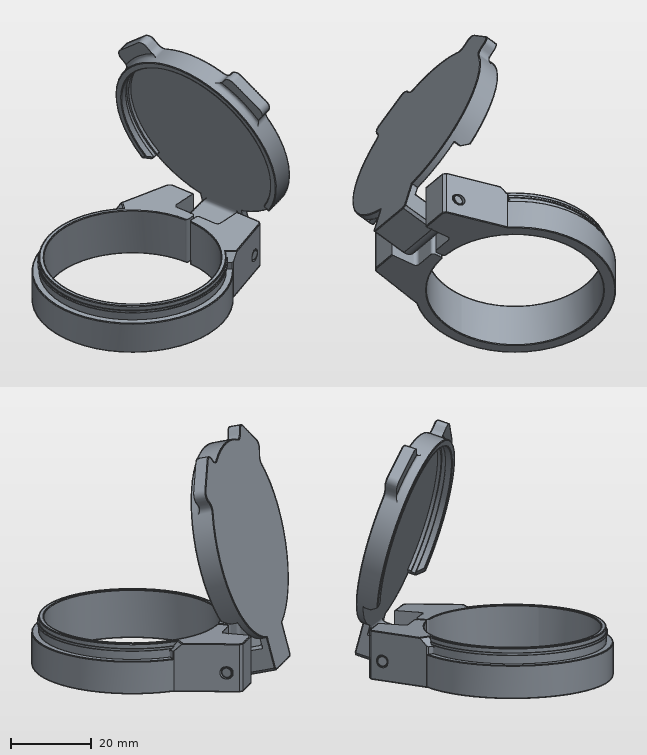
import cadquery as cq
import math

RING_R = 24.985
BORE_R = 22.0
SHOULDER_Z = 8.5
RING_TOP = 12.5
NECK_R = 23.25
BEAD_R = 23.55
BEAD_BOTTOM = 10.7
BEAD_TOP = 11.3
EDGE_BREAK = 0.2

HINGE_Y = 29.05
HINGE_Z = 5.0
BLOCK_BACK = 32.86
BLOCK_START_ANGLE = 40.6
BLOCK_TAPER = 15.0
BLOCK_TOP_CHAMFER = 2.1
BLOCK_BACK_CHAMFER = 0.7
BLOCK_START_CHAMFER = 0.25
NECK_CORNER_R = 0.3
SLOT_HALF = 7.0
SLOT_FRONT = 25.2
SLOT_CORNER_R = 1.0
SPLIT_HALF = 0.4
SPLIT_ROUND = 0.8

PIN_D = 2.8
PIN_END_CHAMFER = 0.2
PIN_HALF_LENGTH = 15.45
HOUSING_HOLE_D = 3.2
LID_HOLE_D = 3.0

LID_OPEN_ANGLE = 75.0
LID_R = RING_R
LID_TOP = 14.4
PLATE_BOTTOM = RING_TOP
SKIRT_BOTTOM = 8.6
SKIRT_BORE_R = 23.2
SKIRT_GROOVE_R = 23.8
GROOVE_BOTTOM = 10.4
GROOVE_TOP = 11.6
SKIRT_END_ANGLE = 40.4
SKIRT_END_CHAMFER = 1.9

ARM_HALF = 6.5
ARM_BACK = HINGE_Y + 3.78
KNUCKLE_R = 6.1 / 2
KNUCKLE_FRONT = HINGE_Y - KNUCKLE_R
STRIP_FRONT = HINGE_Y - 8.0
ARM_FILLET = 1.0
ARM_CHAMFER = 0.7

TAB_ANGLE = 40.0
TAB_REACH = 29.02
TAB_HALF = 6.5
TAB_CORNER_R = 2.0
TAB_ROOT_R = 2.0
TAB_THICKNESS = 3.2
TAB_UNDER_R = 0.8

CLEAR = 1.0


def on_circle(radius, angle):
    a = math.radians(angle)
    return (radius * math.cos(a), radius * math.sin(a))


def box(x_half, y0, y1, z0, z1):
    """Block centred on X = 0."""
    block = cq.Workplane("XY").box(2 * x_half, y1 - y0, z1 - z0, centered=(True, False, False))
    return block.translate((0, y0, z0))


def turned(profile):
    """Solid of revolution about Z from an (R, Z) profile."""
    return cq.Workplane("XZ").polyline(profile).close().revolve(360, (0, 0, 0), (0, 1, 0))


def hinge_rod(diameter, half_length):
    rod = cq.Workplane("YZ").center(HINGE_Y, HINGE_Z).circle(diameter / 2)
    return rod.extrude(half_length, both=True)


def stepped_ring():
    return turned([
        (0, 0), (RING_R, 0),
        (RING_R, SHOULDER_Z - EDGE_BREAK), (RING_R - EDGE_BREAK, SHOULDER_Z),
        (NECK_R, SHOULDER_Z), (NECK_R, BEAD_BOTTOM),
        (BEAD_R, BEAD_BOTTOM), (BEAD_R, BEAD_TOP),
        (NECK_R, BEAD_TOP), (NECK_R, RING_TOP), (0, RING_TOP),
    ])


def hinge_block():
    """Block with radial front walls and sides that taper toward its back."""
    side_x, side_y = on_circle(RING_R, BLOCK_START_ANGLE)
    back_x = side_x - (BLOCK_BACK - side_y) * math.tan(math.radians(BLOCK_TAPER))
    outline = [(0, 0), (side_x, side_y), (back_x, BLOCK_BACK), (-back_x, BLOCK_BACK), (-side_x, side_y)]
    block = cq.Workplane("XY").polyline(outline).close().extrude(RING_TOP)
    block = block.faces(">Y").edges("|Z").chamfer(BLOCK_BACK_CHAMFER)
    block = block.edges("|Z").edges(">X or <X").chamfer(BLOCK_START_CHAMFER)
    front_edges = cq.selectors.BoxSelector((-RING_R, 0, 0), (RING_R, side_y, RING_TOP + CLEAR))
    return block.faces(">Z").edges(front_edges).chamfer(BLOCK_TOP_CHAMFER)


def round_neck_corners(body):
    """Fillet the upright corners where the neck runs into the block."""
    corner_x, corner_y = on_circle(NECK_R, BLOCK_START_ANGLE)
    for x in (-corner_x, corner_x):
        near = cq.selectors.BoxSelector(
            (x - CLEAR / 2, corner_y - CLEAR / 2, SHOULDER_Z),
            (x + CLEAR / 2, corner_y + CLEAR / 2, BEAD_BOTTOM),
        )
        body = body.edges("|Z").edges(near).fillet(NECK_CORNER_R)
    return body


def cut_knuckle_slot(body):
    slot = box(SLOT_HALF, SLOT_FRONT, BLOCK_BACK + CLEAR, 0, RING_TOP)
    return body.cut(slot.edges("|Z and <Y").fillet(SLOT_CORNER_R))


def cut_split(body):
    """Narrow gap from the slot into the bore, its four upright edges rounded."""
    body = body.cut(box(SPLIT_HALF, 0, SLOT_FRONT + CLEAR, 0, RING_TOP))
    gap_edges = cq.selectors.BoxSelector((-CLEAR, BORE_R - CLEAR, 0), (CLEAR, SLOT_FRONT + CLEAR, RING_TOP))
    return body.edges("|Z").edges(gap_edges).fillet(SPLIT_ROUND)


def housing_body():
    body = round_neck_corners(stepped_ring().union(hinge_block()))
    body = body.cut(cq.Workplane("XY").circle(BORE_R).extrude(RING_TOP))
    body = body.faces(">Z or <Z").edges().chamfer(EDGE_BREAK)
    body = cut_split(cut_knuckle_slot(body))
    return body.cut(hinge_rod(HOUSING_HOLE_D, RING_R))


def lid_cap():
    """Round plate with a grooved skirt that stops short of the hinge block."""
    cap = turned([
        (0, PLATE_BOTTOM), (SKIRT_BORE_R, PLATE_BOTTOM), (SKIRT_BORE_R, GROOVE_TOP),
        (SKIRT_GROOVE_R, GROOVE_TOP), (SKIRT_GROOVE_R, GROOVE_BOTTOM), (SKIRT_BORE_R, GROOVE_BOTTOM),
        (SKIRT_BORE_R, SKIRT_BOTTOM + EDGE_BREAK), (SKIRT_BORE_R + EDGE_BREAK, SKIRT_BOTTOM),
        (LID_R - EDGE_BREAK, SKIRT_BOTTOM), (LID_R, SKIRT_BOTTOM + EDGE_BREAK),
        (LID_R, LID_TOP), (0, LID_TOP),
    ])
    return cap.cut(skirt_opening())


def skirt_opening():
    """Wedge between the skirt ends, flared at 45 degrees toward the skirt's rim."""
    far_x, far_y = on_circle(2 * LID_R, SKIRT_END_ANGLE)
    spread = SKIRT_END_CHAMFER / math.cos(math.radians(SKIRT_END_ANGLE))

    rim_plane = cq.Workplane("XY").workplane(offset=SKIRT_BOTTOM)
    straight = rim_plane.polyline([(0, 0), (far_x, far_y), (-far_x, far_y)]).close()
    straight = straight.extrude(PLATE_BOTTOM - SKIRT_BOTTOM)
    flare = rim_plane.polyline([(0, -spread), (far_x, far_y - spread), (-far_x, far_y - spread)]).close()
    flare = flare.workplane(offset=SKIRT_END_CHAMFER)
    flare = flare.polyline([(0, 0), (far_x, far_y), (-far_x, far_y)]).close().loft(ruled=True)
    return straight.union(flare)


def tab_plan():
    """Outline of a tab pointing along +Y, its root blended into the rim by concave arcs."""
    root_x = TAB_HALF + TAB_ROOT_R
    root_y = math.sqrt((LID_R + TAB_ROOT_R) ** 2 - root_x**2)
    rim_share = LID_R / (LID_R + TAB_ROOT_R)
    rim_x = root_x * rim_share
    rim_y = root_y * rim_share
    corner_x = TAB_HALF - TAB_CORNER_R
    corner_y = TAB_REACH - TAB_CORNER_R
    plan = cq.Workplane("XY").lineTo(rim_x, rim_y)
    plan = plan.radiusArc((TAB_HALF, root_y), TAB_ROOT_R).lineTo(TAB_HALF, corner_y)
    plan = plan.radiusArc((corner_x, TAB_REACH), -TAB_CORNER_R).lineTo(-corner_x, TAB_REACH)
    plan = plan.radiusArc((-TAB_HALF, corner_y), -TAB_CORNER_R).lineTo(-TAB_HALF, root_y)
    return plan.radiusArc((-rim_x, rim_y), TAB_ROOT_R).close()


def tab(angle):
    """Tab flush with the lid top; a concave fillet joins its underside to the skirt."""
    inner = LID_R - CLEAR
    outer = TAB_REACH + CLEAR
    bottom = LID_TOP - TAB_THICKNESS
    fillet_bottom = bottom - TAB_UNDER_R
    section = cq.Workplane("XZ").moveTo(inner, LID_TOP).lineTo(outer, LID_TOP).lineTo(outer, bottom)
    section = section.lineTo(LID_R + TAB_UNDER_R, bottom)
    section = section.radiusArc((LID_R, fillet_bottom), -TAB_UNDER_R).lineTo(inner, fillet_bottom).close()
    band = section.revolve(360, (0, 0, 0), (0, 1, 0))
    return tab_plan().extrude(LID_TOP).intersect(band).rotate((0, 0, 0), (0, 0, 1), angle)


def knuckle():
    profile = cq.Workplane("YZ").moveTo(KNUCKLE_FRONT, LID_TOP).lineTo(ARM_BACK, LID_TOP)
    profile = profile.lineTo(ARM_BACK, HINGE_Z).lineTo(HINGE_Y + KNUCKLE_R, HINGE_Z)
    profile = profile.threePointArc((HINGE_Y, HINGE_Z - KNUCKLE_R), (KNUCKLE_FRONT, HINGE_Z)).close()
    chamfered = box(ARM_HALF, KNUCKLE_FRONT, ARM_BACK, 0, LID_TOP).edges("|Z").chamfer(ARM_CHAMFER)
    return profile.extrude(ARM_HALF, both=True).intersect(chamfered)


def arm():
    """Strip carrying the plate back to the knuckle, filleted where the two meet."""
    solid = knuckle().union(box(ARM_HALF, STRIP_FRONT, HINGE_Y, PLATE_BOTTOM, LID_TOP))
    inside_corner = cq.selectors.BoxSelector(
        (-ARM_HALF, KNUCKLE_FRONT - CLEAR, PLATE_BOTTOM - CLEAR),
        (ARM_HALF, KNUCKLE_FRONT + CLEAR, PLATE_BOTTOM + CLEAR),
    )
    return solid.edges("|X").edges(inside_corner).fillet(ARM_FILLET)


def lid_body():
    body = lid_cap().union(arm())
    for side in (-1, 1):
        body = body.union(tab(180 + side * TAB_ANGLE))
    body = body.cut(hinge_rod(LID_HOLE_D, RING_R))
    body = body.faces(">Z").edges().chamfer(EDGE_BREAK)
    return body.rotate((0, HINGE_Y, HINGE_Z), (1, HINGE_Y, HINGE_Z), -LID_OPEN_ANGLE)


def hinge_pin():
    return hinge_rod(PIN_D, PIN_HALF_LENGTH).faces("<X or >X").chamfer(PIN_END_CHAMFER)


housing = housing_body().solids()
lid = lid_body().solids()
pin = hinge_pin().solids()
result = cq.Compound.makeCompound([housing.val(), lid.val(), pin.val()])